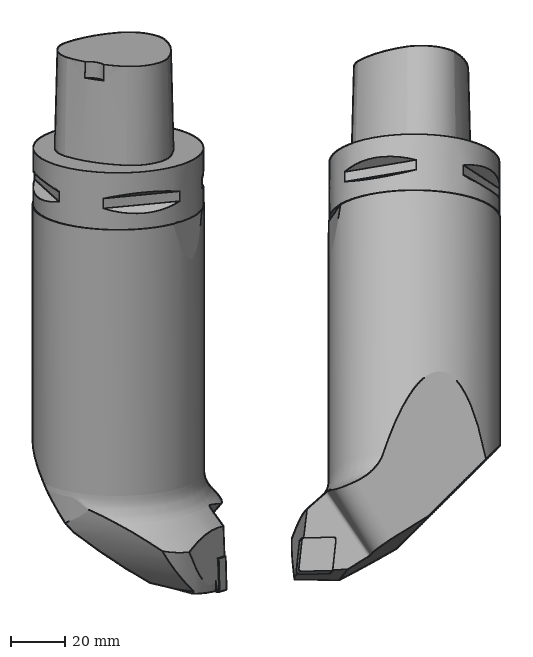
import cadquery as cq
import math

SHANK_LENGTH = 38.0
SHANK_MEAN_RADIUS = 22.0
SHANK_LOBE = 1.55
SHANK_TAPER = 1 / 40
LOBE_HALF_ANGLE = 25.0
KEYWAY_HALF_WIDTH = 4.0
KEYWAY_FLOOR = 18.0
KEYWAY_EDGE = 19.5
KEYWAY_HEIGHT = 6.2

FLANGE_RADIUS = 63.0 / 2
FLANGE_HEIGHT = 22.0
GROOVE_MIDDLE = -12.0
GROOVE_FLAT = 27.8
GROOVE_FLOOR_HALF = 1.9
GROOVE_SIDE_ANGLE = 30.0

BODY_RADIUS = 63.6 / 2
FLARE_TOP = -124.9
FLARE_RADIUS = 13.2
FLARE_ANGLE = 45.0
HEAD_RADIUS = 60.0
TIP_X = 44.95
TIP_Z = -165.0
WALL_RADIUS = 31.95
WALL_ANGLE = 6.5
WALL_FLAT_LENGTH = 3.0
WALL_END_ANGLE = 7.0

BACK_SLOPE_TOP = -92.6
BACK_SLOPE_ANGLE = 12.8
HEEL_TOP = -109.0
HEEL_SLOPE = 1.105
HEEL_BREAK_FRONT = (-30.2, -141.0)
HEEL_BREAK_BACK = (19.7, -145.3)
UNDERSIDE_END = (24.1, -18.2, -160.6)
BELLY = [(-32.7, -130.5), (-28.4, -146.0), (-18.2, -161.0)]
SIDE_POINT = (44.0, -5.0, -163.0)
SIDE_NORMAL = (1, -0.09, 0.10)
CORNER_RADIUS = 26.7
CORNER_CENTRE = (17.9, -7.3)
CORNER_LEVEL = -146.0
CORNER_LEAN = 0.08
END_POINT = (42.0, -5.0, -163.8)
END_NORMAL = (-0.11, -0.13, -1)

INSERT_EDGE = 12.9
INSERT_THICKNESS = 4.76
INSERT_CORNER = 80.0
NOSE_RADIUS = 0.8
LEAD_ANGLE = 5.0
RAKE_X = 0.10
RAKE_Z = 0.09

POCKET_WALL_HIGH = (35.3, -134.0)
POCKET_WALL_LOW = (18.5, -157.0)
POCKET_FLOOR_FILLET = 1.5
POCKET_EDGE_FILLET = 9.0

FAR = 150.0
OVERCUT = 1.0


def beyond(point, normal):
    """Block that fills the space on the normal's side of a plane."""
    return cq.Workplane(cq.Plane(point, normal=normal)).rect(2 * FAR, 2 * FAR).extrude(FAR)


def polar(radius, degrees):
    angle = math.radians(degrees)
    return (radius * math.cos(angle), radius * math.sin(angle))


def polygon_wire(height):
    """Three lobes joined by three flatter arcs, one lobe pointing to +Y."""
    mean = SHANK_MEAN_RADIUS - SHANK_TAPER * height
    joint = mean + SHANK_LOBE * math.cos(math.radians(3 * LOBE_HALF_ANGLE))
    path = cq.Workplane("XY", origin=(0, 0, height)).moveTo(*polar(joint, 90 - LOBE_HALF_ANGLE))
    for lobe in (90, 210, 330):
        lobe_end = lobe + LOBE_HALF_ANGLE
        next_lobe_start = lobe + 120 - LOBE_HALF_ANGLE
        path = path.threePointArc(polar(mean + SHANK_LOBE, lobe), polar(joint, lobe_end))
        path = path.threePointArc(polar(mean - SHANK_LOBE, lobe + 60), polar(joint, next_lobe_start))
    return path.close().val()


def make_shank():
    ends = [polygon_wire(0), polygon_wire(SHANK_LENGTH)]
    shank = cq.Workplane(cq.Solid.makeLoft(ends, True))
    mouth = -SHANK_MEAN_RADIUS
    keyway = (
        cq.Workplane("XY", origin=(0, 0, SHANK_LENGTH - KEYWAY_HEIGHT))
        .moveTo(-KEYWAY_HALF_WIDTH, mouth)
        .lineTo(-KEYWAY_HALF_WIDTH, -KEYWAY_EDGE)
        .threePointArc((0, -KEYWAY_FLOOR), (KEYWAY_HALF_WIDTH, -KEYWAY_EDGE))
        .lineTo(KEYWAY_HALF_WIDTH, mouth)
        .close()
        .extrude(KEYWAY_HEIGHT)
    )
    return shank.cut(keyway)


def make_flange():
    flange = cq.Workplane("XY").circle(FLANGE_RADIUS).extrude(-FLANGE_HEIGHT)
    reach = FLANGE_RADIUS + OVERCUT
    mouth_half = GROOVE_FLOOR_HALF + (reach - GROOVE_FLAT) * math.tan(math.radians(GROOVE_SIDE_ANGLE))
    groove = (
        cq.Workplane("XZ")
        .polyline([
            (GROOVE_FLAT, GROOVE_MIDDLE - GROOVE_FLOOR_HALF),
            (reach, GROOVE_MIDDLE - mouth_half),
            (reach, GROOVE_MIDDLE + mouth_half),
            (GROOVE_FLAT, GROOVE_MIDDLE + GROOVE_FLOOR_HALF),
        ])
        .close()
        .extrude(FLANGE_RADIUS, both=True)
    )
    for angle in (45, 135, 225, 315):
        flange = flange.cut(groove.rotate((0, 0, 0), (0, 0, 1), angle))
    return flange


def make_flared_body():
    """Round body with a concave flare into a cone, all turned about the shank axis."""
    angle = math.radians(FLARE_ANGLE)
    half = angle / 2
    cone_r = BODY_RADIUS + FLARE_RADIUS * (1 - math.cos(angle))
    cone_z = FLARE_TOP - FLARE_RADIUS * math.sin(angle)
    middle = (
        BODY_RADIUS + FLARE_RADIUS * (1 - math.cos(half)),
        FLARE_TOP - FLARE_RADIUS * math.sin(half),
    )
    rim_z = cone_z - (HEAD_RADIUS - cone_r) / math.tan(angle)
    bottom = TIP_Z - OVERCUT
    return (
        cq.Workplane("YZ")
        .moveTo(0, -FLANGE_HEIGHT)
        .lineTo(BODY_RADIUS, -FLANGE_HEIGHT)
        .lineTo(BODY_RADIUS, FLARE_TOP)
        .threePointArc(middle, (cone_r, cone_z))
        .lineTo(HEAD_RADIUS, rim_z)
        .lineTo(HEAD_RADIUS, bottom)
        .lineTo(0, bottom)
        .close()
        .revolve(360, (0, 0, 0), (0, 1, 0))
    )


def make_wall_envelope():
    """Upright column: round on the -X side, with a flat wall leaving it tangentially on the -Y side."""
    leave = polar(WALL_RADIUS, 270 - WALL_ANGLE)
    flat = polar(WALL_FLAT_LENGTH, -WALL_ANGLE)
    kink = (leave[0] + flat[0], leave[1] + flat[1])
    wall = polar(FAR / 2, -WALL_END_ANGLE)
    far_end = (kink[0] + wall[0], kink[1] + wall[1])
    return (
        cq.Workplane("XY", origin=(0, 0, TIP_Z - OVERCUT))
        .moveTo(0, WALL_RADIUS)
        .threePointArc((-WALL_RADIUS, 0), leave)
        .lineTo(*kink)
        .lineTo(*far_end)
        .lineTo(far_end[0], WALL_RADIUS)
        .close()
        .extrude(-TIP_Z)
    )


def make_back_slope():
    angle = math.radians(BACK_SLOPE_ANGLE)
    return beyond((0, BODY_RADIUS, BACK_SLOPE_TOP), (0, math.cos(angle), -math.sin(angle)))


def heel_point(y, z):
    """Point of the heel face at the given Y and Z."""
    return cq.Vector(-BODY_RADIUS + (HEEL_TOP - z) / HEEL_SLOPE, y, z)


def make_underside():
    front = heel_point(*HEEL_BREAK_FRONT)
    back = heel_point(*HEEL_BREAK_BACK)
    normal = (cq.Vector(*UNDERSIDE_END) - front).cross(back - front)
    if normal.z > 0:
        normal = -normal
    return beyond(front, normal)


def make_belly():
    """Space outside the round belly, which runs along X."""
    start, middle, end = BELLY
    return (
        cq.Workplane("YZ", origin=(-FAR / 2, 0, 0))
        .moveTo(*start)
        .threePointArc(middle, end)
        .lineTo(end[0], end[1] - FAR)
        .lineTo(-FAR, end[1] - FAR)
        .lineTo(-FAR, start[1])
        .close()
        .extrude(FAR)
    )


def make_corner():
    """Space outside the rounded corner, whose axis leans inwards towards the tip."""
    plane = cq.Plane(
        (*CORNER_CENTRE, CORNER_LEVEL), xDir=(1, 0, CORNER_LEAN), normal=(-CORNER_LEAN, CORNER_LEAN, -1)
    )
    reach = 2 * CORNER_RADIUS
    return (
        cq.Workplane(plane)
        .moveTo(CORNER_RADIUS, 0)
        .threePointArc(polar(CORNER_RADIUS, 45), (0, CORNER_RADIUS))
        .lineTo(0, reach)
        .lineTo(reach, reach)
        .lineTo(reach, 0)
        .close()
        .extrude(CORNER_RADIUS, both=True)
    )


RAKE_PLANE = cq.Plane((TIP_X, 0, TIP_Z), xDir=(1, -RAKE_X, 0), normal=(RAKE_X, 1, -RAKE_Z))


def make_insert():
    nose_to_corner = NOSE_RADIUS / math.sin(math.radians(INSERT_CORNER / 2))
    corner = cq.Vector(-NOSE_RADIUS, -NOSE_RADIUS) + cq.Vector(*polar(nose_to_corner, 45))
    side_edge = cq.Vector(*polar(INSERT_EDGE, 270 - LEAD_ANGLE))
    end_edge = cq.Vector(*polar(INSERT_EDGE, 270 - LEAD_ANGLE - INSERT_CORNER))
    far_corner = corner + side_edge + end_edge
    rhombus = [corner, corner + side_edge, far_corner, corner + end_edge]
    plate = cq.Workplane(RAKE_PLANE).polyline([p.toTuple()[:2] for p in rhombus]).close()
    plate = plate.extrude(-INSERT_THICKNESS)
    for sharp in (corner, far_corner):
        edge_middle = RAKE_PLANE.toWorldCoords((sharp.x, sharp.y, -INSERT_THICKNESS / 2))
        plate = plate.edges(cq.selectors.NearestToPointSelector(edge_middle.toTuple())).fillet(NOSE_RADIUS)
    return plate


def make_chip_pocket():
    """Space above the insert's top face, in front of a wall that crosses the head diagonally."""
    high = (POCKET_WALL_HIGH[0] - TIP_X, TIP_Z - POCKET_WALL_HIGH[1])
    low = (POCKET_WALL_LOW[0] - TIP_X, TIP_Z - POCKET_WALL_LOW[1])
    run = (high[0] - low[0], high[1] - low[1])
    wall_start = (low[0] - run[0], low[1] - run[1])
    wall_end = (high[0] + run[0], high[1] + run[1])
    outline = [wall_start, wall_end, (FAR, wall_end[1]), (FAR, FAR), (wall_start[0], FAR)]
    pocket = cq.Workplane(RAKE_PLANE).polyline(outline).close().extrude(FAR)
    foot = RAKE_PLANE.toWorldCoords(((low[0] + high[0]) / 2, (low[1] + high[1]) / 2, 0))
    return pocket.edges(cq.selectors.NearestToPointSelector(foot.toTuple())).fillet(POCKET_FLOOR_FILLET)


def round_pocket_edge(head):
    """Round the edge where the pocket wall meets the back slope."""
    x = (POCKET_WALL_HIGH[0] + POCKET_WALL_LOW[0]) / 2
    z = (POCKET_WALL_HIGH[1] + POCKET_WALL_LOW[1]) / 2
    y = BODY_RADIUS - (BACK_SLOPE_TOP - z) * math.tan(math.radians(BACK_SLOPE_ANGLE))
    return head.edges(cq.selectors.NearestToPointSelector((x, y, z))).fillet(POCKET_EDGE_FILLET)


insert = make_insert()

head = make_flared_body().intersect(make_wall_envelope())
head = head.cut(make_back_slope())
head = head.cut(beyond((-BODY_RADIUS, 0, HEEL_TOP), (-HEEL_SLOPE, 0, -1)))
head = head.cut(make_underside())
head = head.cut(make_belly())
head = head.cut(beyond(SIDE_POINT, SIDE_NORMAL))
head = head.cut(make_corner())
head = head.cut(beyond(END_POINT, END_NORMAL))
head = round_pocket_edge(head.cut(make_chip_pocket()))
head = head.cut(insert)

holder = make_shank().union(make_flange()).union(head)
result = cq.Compound.makeCompound([holder.val(), insert.val()])